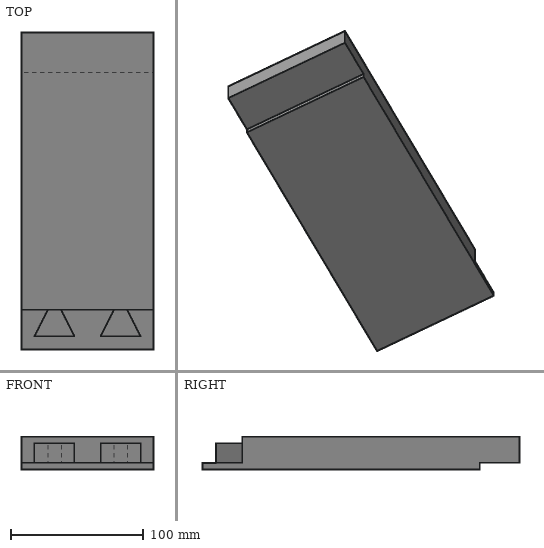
import cadquery as cq

length = 240.0
width = 100.0
height = 25.0

plate_thickness = 5.0
end_step = 30.0
layer_length = length - end_step
block_height = height - plate_thickness

tail_count = 2
tail_pitch = width / tail_count
tail_length = 20.0
tail_height = 15.0
tail_tip_width = 30.2
tail_root_width = 10.0


def layer(y_start, z_start, thickness):
    """Full-width rectangular slab, centred on X."""
    slab = cq.Workplane("XY").box(width, layer_length, thickness, centered=(True, False, False))
    return slab.translate((0, y_start, z_start))


def dovetail(x_center):
    """Tongue that widens from the block face towards -Y."""
    y_root = end_step
    y_tip = y_root - tail_length
    outline = [
        (x_center - tail_root_width / 2, y_root),
        (x_center - tail_tip_width / 2, y_tip),
        (x_center + tail_tip_width / 2, y_tip),
        (x_center + tail_root_width / 2, y_root),
    ]
    return cq.Workplane("XY", origin=(0, 0, plate_thickness)).polyline(outline).close().extrude(tail_height)


plate = layer(0, 0, plate_thickness)
block = layer(end_step, plate_thickness, block_height)
result = plate.union(block)

for index in range(tail_count):
    x_center = (index - (tail_count - 1) / 2) * tail_pitch
    result = result.union(dovetail(x_center))